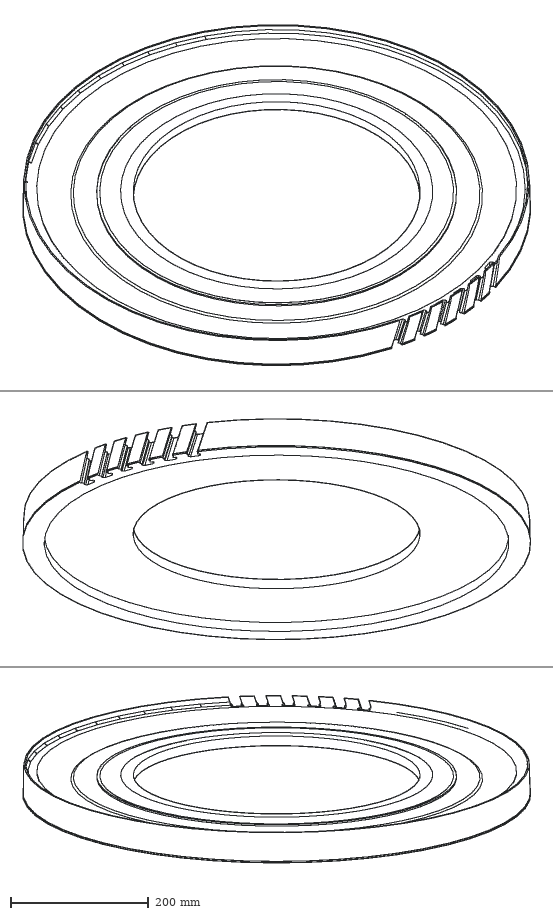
import cadquery as cq
import math

height = 45.0
shelf_z = 34.0
outer_web_z = 23.0
inner_web_z = 25.0
land_z = 27.5
hub_z = 29.0
valley_z = 24.0
recess_z = 14.0
foot_z = 2.0
crown_z = 39.0

bore_radius = 209.0
hub_radius = 227.5
valley_inner_radius = 243.0
valley_outer_radius = 250.0
land_inner_radius = 258.0
land_outer_radius = 262.0
web_step_inner_radius = 296.5
web_step_outer_radius = 300.0
shelf_inner_radius = 350.0
lip_fillet_start_radius = 362.0
lip_inner_radius = 366.0
crown_radius = 368.0
wall_top_radius = 369.0
wall_bottom_radius = 370.0
foot_radius = 370.5

rim_fillet = shelf_z - outer_web_z
web_edge_radius = shelf_inner_radius - rim_fillet

slot_count = 6
slot_pitch_angle = 6.0
slot_lean_angle = 18.0
slot_bottom_radius = 355.0
slot_corner_chamfer = 2.0
slot_bulb_radius = 360.0
slot_neck_radius = 363.0
slot_shoulder_radius = 366.0
slot_mouth_radius = 368.0
slot_bulb_half_width = 9.0
slot_shoulder_half_width = 8.0
slot_neck_half_width = 6.0
slot_mouth_half_width = 8.0


def tangent_arc_middle(start, center, end):
    """Point half-way along the short arc from start to end about center."""
    radius = math.dist(start, center)
    chord_middle_r = (start[0] + end[0]) / 2 - center[0]
    chord_middle_z = (start[1] + end[1]) / 2 - center[1]
    stretch = radius / math.hypot(chord_middle_r, chord_middle_z)
    return (center[0] + chord_middle_r * stretch, center[1] + chord_middle_z * stretch)


def concave_rise(flat_point, raised_point):
    """Middle of an arc leaving flat_point level and curving up to raised_point."""
    run = raised_point[0] - flat_point[0]
    rise = raised_point[1] - flat_point[1]
    radius = (run**2 + rise**2) / (2 * rise)
    center = (flat_point[0], flat_point[1] + radius)
    return tangent_arc_middle(flat_point, center, raised_point)


def make_disc():
    hub_edge = (hub_radius, hub_z)
    valley_inner = (valley_inner_radius, valley_z)
    valley_outer = (valley_outer_radius, valley_z)
    land_edge = (land_inner_radius, land_z)
    web_edge = (web_edge_radius, outer_web_z)
    shelf_edge = (shelf_inner_radius, shelf_z)
    lip_fillet_start = (lip_fillet_start_radius, shelf_z)
    lip_fillet_end = (lip_inner_radius, shelf_z + lip_inner_radius - lip_fillet_start_radius)
    profile = (
        cq.Workplane("XZ")
        .moveTo(bore_radius, recess_z)
        .lineTo(bore_radius, hub_z)
        .lineTo(*hub_edge)
        .threePointArc(concave_rise(valley_inner, hub_edge), valley_inner)
        .lineTo(*valley_outer)
        .threePointArc(concave_rise(valley_outer, land_edge), land_edge)
        .lineTo(land_outer_radius, land_z)
        .lineTo(land_outer_radius, inner_web_z)
        .lineTo(web_step_inner_radius, inner_web_z)
        .lineTo(web_step_outer_radius, outer_web_z)
        .lineTo(*web_edge)
        .threePointArc(concave_rise(web_edge, shelf_edge), shelf_edge)
        .lineTo(*lip_fillet_start)
        .threePointArc(concave_rise(lip_fillet_start, lip_fillet_end), lip_fillet_end)
        .lineTo(lip_inner_radius, height)
        .lineTo(crown_radius, height)
        .lineTo(wall_top_radius, crown_z)
        .lineTo(wall_bottom_radius, foot_z)
        .lineTo(foot_radius, foot_z)
        .lineTo(foot_radius, 0)
        .lineTo(web_edge_radius, 0)
        .lineTo(web_edge_radius, recess_z)
        .close()
    )
    return profile.revolve(360, (0, 0, 0), (0, 1, 0))


def make_slot_cutter():
    """Leaning fir-tree prism at angle zero, centred half-way up the rim shelf."""
    length = 3 * height
    outside_radius = foot_radius + 7.5
    side = [
        (slot_bottom_radius, slot_bulb_half_width - slot_corner_chamfer),
        (slot_bottom_radius + slot_corner_chamfer, slot_bulb_half_width),
        (slot_bulb_radius, slot_bulb_half_width),
        (slot_neck_radius, slot_neck_half_width),
        (slot_shoulder_radius, slot_shoulder_half_width),
        (slot_mouth_radius, slot_mouth_half_width),
        (outside_radius, slot_mouth_half_width),
    ]
    opposite_side = [(radius, -half_width) for radius, half_width in reversed(side)]
    return (
        cq.Workplane("XY")
        .polyline(side + opposite_side)
        .close()
        .extrude(length / 2, both=True)
        .rotate((0, 0, 0), (1, 0, 0), -slot_lean_angle)
        .translate((0, 0, shelf_z / 2))
    )


result = make_disc()
slot_cutter = make_slot_cutter()
for index in range(slot_count):
    result = result.cut(slot_cutter.rotate((0, 0, 0), (0, 0, 1), index * slot_pitch_angle))